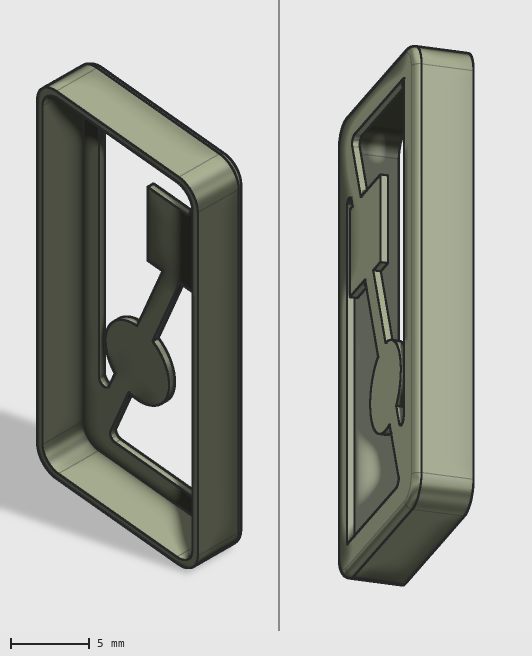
import cadquery as cq
import math

width = 15.2
depth = 4.0
height = 31.7
corner_radius = 1.8
cavity_corner_radius = 1.5
wall = 0.5
floor_thickness = 0.5
edge_round = floor_thickness

side_border = 2.0
end_border = 2.05
window_width = width - 2 * side_border
window_height = height - 2 * end_border
strap_width = 1.5
strap_corner_radius = 0.48

pad_size = 6.02
pad_x = 2.0
pad_z = 6.0

back_y = depth / 2
seam_y = back_y - floor_thickness


def prism(sketch, y_start, length):
    """Extrude an XZ profile toward +Y from y_start."""
    return sketch.extrude(-length).translate((0, y_start, 0))


def profile():
    return cq.Workplane("XZ")


def make_outer_block():
    """Full-depth rounded block whose back edge is rounded; both bodies are taken from it."""
    block = prism(profile().rect(width, height), -back_y, depth).edges("|Y").fillet(corner_radius)
    return block.faces(">Y").edges().fillet(edge_round)


def make_wall_ring():
    length = depth - floor_thickness
    front_space = prism(profile().rect(width, height), -back_y, length)
    cavity = prism(profile().rect(width - 2 * wall, height - 2 * wall), -back_y, length)
    cavity = cavity.edges("|Y").fillet(cavity_corner_radius)
    return make_outer_block().intersect(front_space).cut(cavity)


def make_window_half():
    """Triangular opening above the strap, rounded where its edges meet the strap."""
    half_width = window_width / 2
    half_height = window_height / 2
    diagonal = math.hypot(window_width, window_height)
    offset_x = strap_width / 2 * diagonal / window_height
    offset_z = strap_width / 2 * diagonal / window_width
    outline = profile().polyline([
        (-half_width, half_height),
        (half_width - offset_x, half_height),
        (-half_width, -half_height + offset_z),
    ]).close()
    opening = prism(outline, seam_y, floor_thickness)
    return opening.edges("|Y").edges(">X or <Z").fillet(strap_corner_radius)


def make_floor_plate():
    back_space = prism(profile().rect(width, height), seam_y, floor_thickness)
    plate = make_outer_block().intersect(back_space)

    upper_window = make_window_half()
    lower_window = upper_window.rotate((0, 0, 0), (0, 1, 0), 180)
    square_pad = prism(profile().center(pad_x, pad_z).rect(pad_size, pad_size), seam_y, floor_thickness)
    round_pad = prism(profile().center(-pad_x, -pad_z).circle(pad_size / 2), seam_y, floor_thickness)
    return plate.cut(upper_window).cut(lower_window).union(square_pad).union(round_pad)


wall_ring = make_wall_ring()
floor_plate = make_floor_plate()

result = cq.Compound.makeCompound([*wall_ring.solids().vals(), *floor_plate.solids().vals()])